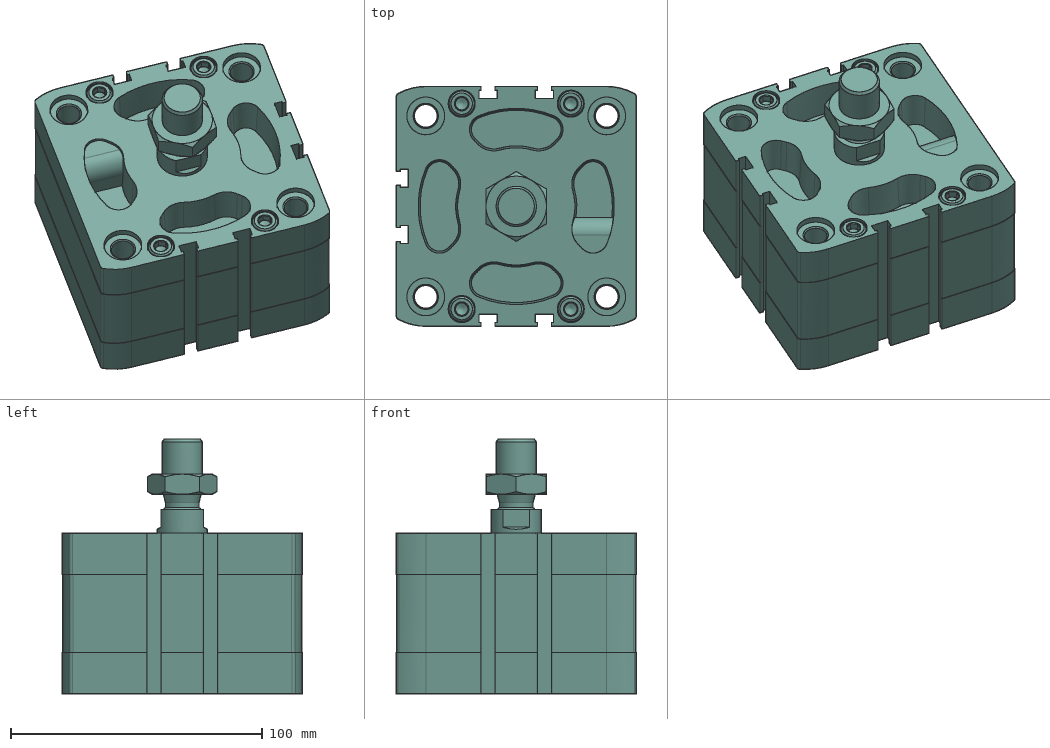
import cadquery as cq
import math


width = 95.5
housing_height = 64.0
cap_height = 16.5
barrel_inset = 0.2
corner_sweep_radius = 23.0
corner_edge_radius = 1.5
mount_pitch = 72.0
half_width = width / 2
half_mount = mount_pitch / 2

slot_offset = 11.2
slot_mouth = 5.5
slot_inner = 7.1
slot_lip = 1.6
slot_depth = 4.8
slot_edge_radius = 0.3

mount_bore = 9.0
mount_rim = 10.0
mount_chamfer = (mount_rim - mount_bore) / 2
counterbore_diameter = 15.0
counterbore_depth = 2.5

screw_x = 21.7
screw_y = 40.9
screw_groove_outer = 10.7
screw_head = 10.0
screw_top = 8.5
screw_chamfer = (screw_head - screw_top) / 2
screw_groove_depth = 1.0
socket_across_flats = 5.0
socket_depth = 3.0
socket_tip_height = 0.9

pocket_inner_radius = 23.3
pocket_outer_radius = 39.0
rib_half_width = 6.7
pocket_inner_fillet = 9.0
pocket_outer_fillet = 6.0
pocket_depth = 15.0
pocket_draft = 3.0
corner_pick = 0.1

boss_radius = 7.1
boss_y = -11.5
boss_top_gap = 1.0
overcut = 1.0

total_height = 101.4
collar_diameter = 20.0
collar_height = 9.4
flat_spacing = 17.0
flat_height = 7.1
flat_runout_angle = 30.0
neck_diameter = 13.5
neck_foot_diameter = 15.0
neck_foot_height = 0.7
neck_height = 2.0
thread_diameter = 16.0
runout_angle = 15.0
tip_diameter = 14.4
tip_chamfer_height = 1.1

nut_across_flats = 24.0
nut_height = 8.0
nut_top = 87.4
nut_chamfer_angle = 30.0


def block(inset, bottom, height):
    """Slice of the housing with swept corners on its Y faces, before slots are cut."""
    x = half_width - inset
    y = half_width - inset
    dx = x - half_mount
    drop = corner_sweep_radius - math.sqrt(corner_sweep_radius**2 - dx**2)
    mid_drop = corner_sweep_radius - math.sqrt(corner_sweep_radius**2 - (dx / 2) ** 2)
    mid_x = half_mount + dx / 2
    return (
        cq.Workplane("XY", origin=(0, 0, bottom))
        .moveTo(-half_mount, y)
        .lineTo(half_mount, y)
        .threePointArc((mid_x, y - mid_drop), (x, y - drop))
        .lineTo(x, drop - y)
        .threePointArc((mid_x, mid_drop - y), (half_mount, -y))
        .lineTo(-half_mount, -y)
        .threePointArc((-mid_x, mid_drop - y), (-x, drop - y))
        .lineTo(-x, y - drop)
        .threePointArc((-mid_x, y - mid_drop), (-half_mount, y))
        .close()
        .extrude(height)
        .edges("|Z and (<X or >X)")
        .fillet(corner_edge_radius)
    )


def sensor_slots(inset, bottom, height):
    """Pairs of T-slots on the -X, -Y and +Y sides, with rounded mouth edges on the inset side face."""
    face = half_width - inset
    floor = half_width - slot_depth
    lip = half_width - slot_lip
    mouth_x = slot_mouth / 2
    inner_x = slot_inner / 2
    edge_x = mouth_x + slot_edge_radius * (1 - math.sqrt(0.5))
    edge_y = face - slot_edge_radius * (1 - math.sqrt(0.5))
    slot = (
        cq.Workplane("XY", origin=(0, 0, bottom))
        .moveTo(mouth_x + slot_edge_radius, face)
        .threePointArc((edge_x, edge_y), (mouth_x, face - slot_edge_radius))
        .lineTo(mouth_x, lip)
        .lineTo(inner_x, lip)
        .lineTo(inner_x, floor)
        .lineTo(-inner_x, floor)
        .lineTo(-inner_x, lip)
        .lineTo(-mouth_x, lip)
        .lineTo(-mouth_x, face - slot_edge_radius)
        .threePointArc((-edge_x, edge_y), (-mouth_x - slot_edge_radius, face))
        .close()
        .extrude(height)
        .val()
    )
    slots = []
    for offset in (-slot_offset, slot_offset):
        for angle in (0, 90, 180):
            placed = slot.translate(cq.Vector(offset, 0, 0))
            slots.append(placed.rotate(cq.Vector(0, 0, 0), cq.Vector(0, 0, 1), angle))
    return slots


def slotted_block(inset, bottom, height):
    """Slice of the housing with its sensor slots."""
    body = block(inset, bottom, height)
    for slot in sensor_slots(inset, bottom, height):
        body = body.cut(cq.Workplane(slot))
    return body


def mounting_hole():
    """Through hole with a chamfered rim at the floor of a counterbore."""
    floor = housing_height - counterbore_depth
    profile = [
        (0, 0),
        (mount_bore / 2, 0),
        (mount_bore / 2, floor - mount_chamfer),
        (mount_rim / 2, floor),
        (counterbore_diameter / 2, floor),
        (counterbore_diameter / 2, housing_height),
        (0, housing_height),
    ]
    return cq.Workplane("XZ").polyline(profile).close().revolve(360, (0, 0), (0, 1))


def screw_recess():
    """Ring groove round a chamfered screw head, and the hexagon socket with a conical floor."""
    top = housing_height
    groove_profile = [
        (screw_groove_outer / 2, top),
        (screw_top / 2, top),
        (screw_head / 2, top - screw_chamfer),
        (screw_head / 2, top - screw_groove_depth),
        (screw_groove_outer / 2, top - screw_groove_depth),
    ]
    groove = cq.Workplane("XZ").polyline(groove_profile).close().revolve(360, (0, 0), (0, 1))
    corner_radius = socket_across_flats / math.sqrt(3)
    corner_chamfer = corner_radius - socket_across_flats / 2
    socket = (
        cq.Workplane("XY", origin=(0, 0, top))
        .polygon(6, 2 * corner_radius)
        .extrude(-socket_depth)
        .rotate((0, 0, 0), (0, 0, 1), 30)
    )
    floor = top - socket_depth
    cone_profile = [(0, floor), (socket_across_flats / 2, floor), (0, floor - socket_tip_height)]
    rim_profile = [
        (0, top),
        (corner_radius, top),
        (socket_across_flats / 2, top - corner_chamfer),
        (0, top - corner_chamfer),
    ]
    for profile in (cone_profile, rim_profile):
        socket = socket.union(cq.Workplane("XZ").polyline(profile).close().revolve(360, (0, 0), (0, 1)))
    return [groove.val(), socket.val()]


def pocket_section(inset, z):
    """Outline of the +X pocket: a ring sector between two diagonal ribs, moved inwards by the inset."""
    inner_radius = pocket_inner_radius + inset
    outer_radius = pocket_outer_radius - inset
    rib = rib_half_width + inset

    def rib_corner(radius):
        along = math.sqrt(radius**2 - rib**2)
        return ((along + rib) / math.sqrt(2), (along - rib) / math.sqrt(2))

    inner_x, inner_y = rib_corner(inner_radius)
    outer_x, outer_y = rib_corner(outer_radius)
    sector = (
        cq.Workplane("XY", origin=(0, 0, z))
        .moveTo(inner_x, inner_y)
        .lineTo(outer_x, outer_y)
        .threePointArc((outer_radius, 0), (outer_x, -outer_y))
        .lineTo(inner_x, -inner_y)
        .threePointArc((inner_radius, 0), (inner_x, inner_y))
        .close()
        .extrude(pocket_depth)
    )
    middle_x = (inner_x + outer_x) / 2
    outer_side = cq.selectors.BoxSelector((middle_x, -width, 0), (width, width, 2 * width))
    rounded = sector.edges("|Z").edges(outer_side).fillet(pocket_outer_fillet - inset)
    sharp = cq.selectors.BoxSelector(
        (inner_x - corner_pick, -inner_y - corner_pick, 0),
        (inner_x + corner_pick, inner_y + corner_pick, 2 * width),
    )
    rounded = rounded.edges("|Z").edges(sharp).fillet(pocket_inner_fillet - inset)
    return rounded.faces("<Z").wires().val()


def pocket():
    """Pocket on the +X side with drafted walls."""
    draft_inset = pocket_depth * math.tan(math.radians(pocket_draft))
    mouth = pocket_section(0, housing_height)
    floor = pocket_section(draft_inset, housing_height - pocket_depth)
    return cq.Workplane(cq.Solid.makeLoft([floor, mouth], True))


def port_boss():
    """Rounded shoulder, flat towards -Y, that fills part of the +X pocket."""
    crest = housing_height - boss_top_gap
    bottom = housing_height - pocket_depth - overcut
    arc_y = boss_y + boss_radius * math.sin(math.pi / 4)
    arc_z = crest - boss_radius * (1 - math.cos(math.pi / 4))
    return (
        cq.Workplane("YZ")
        .moveTo(-half_mount, bottom)
        .lineTo(-half_mount, crest)
        .lineTo(boss_y, crest)
        .threePointArc((arc_y, arc_z), (boss_y + boss_radius, crest - boss_radius))
        .lineTo(boss_y + boss_radius, bottom)
        .close()
        .extrude(half_width)
    )


def make_housing():
    """Two caps and the barrel between them as one block, with all its holes and pockets."""
    body = slotted_block(0, 0, cap_height)
    body = body.union(slotted_block(barrel_inset, cap_height, housing_height - 2 * cap_height))
    body = body.union(slotted_block(0, housing_height - cap_height, cap_height))

    cutters = []
    for x in (-half_mount, half_mount):
        for y in (-half_mount, half_mount):
            cutters.append(mounting_hole().val().translate(cq.Vector(x, y, 0)))
    for x in (-screw_x, screw_x):
        for y in (-screw_y, screw_y):
            for shape in screw_recess():
                cutters.append(shape.translate(cq.Vector(x, y, 0)))
    for angle in (90, 180, 270):
        cutters.append(pocket().val().rotate(cq.Vector(0, 0, 0), cq.Vector(0, 0, 1), angle))
    cutters.append(pocket().cut(port_boss()).val())
    for cutter in cutters:
        body = body.cut(cq.Workplane(cutter))
    return body


def make_rod():
    """Collar with two wrench flats, undercut neck and plain thread cylinder, resting on the housing."""
    collar_top = housing_height + collar_height
    neck_bottom = collar_top + neck_foot_height
    neck_top = neck_bottom + neck_height
    runout = (thread_diameter - neck_diameter) / 2 / math.tan(math.radians(runout_angle))
    profile = [
        (0, housing_height),
        (collar_diameter / 2, housing_height),
        (collar_diameter / 2, collar_top),
        (neck_foot_diameter / 2, collar_top),
        (neck_diameter / 2, neck_bottom),
        (neck_diameter / 2, neck_top),
        (thread_diameter / 2, neck_top + runout),
        (thread_diameter / 2, total_height - tip_chamfer_height),
        (tip_diameter / 2, total_height),
        (0, total_height),
    ]
    body = cq.Workplane("XZ").polyline(profile).close().revolve(360, (0, 0), (0, 1))

    flat_bottom = collar_top - flat_height
    flat_cut = (collar_diameter - flat_spacing) / 2
    runout_drop = flat_cut * math.tan(math.radians(flat_runout_angle))
    flat_profile = [
        (flat_spacing / 2, collar_top),
        (flat_spacing / 2, flat_bottom),
        (collar_diameter / 2, flat_bottom - runout_drop),
        (collar_diameter / 2, collar_top),
    ]
    flat = cq.Workplane("YZ").polyline(flat_profile).close().extrude(collar_diameter / 2, both=True)
    return body.cut(flat).cut(flat.mirror("XZ"))


def make_nut():
    """Hexagon nut with corners on Y, both ends chamfered, bored to the thread diameter."""
    corner_radius = nut_across_flats / math.sqrt(3)
    flat_radius = nut_across_flats / 2
    chamfer = (corner_radius - flat_radius) * math.tan(math.radians(nut_chamfer_angle))
    bottom = nut_top - nut_height
    hexagon = (
        cq.Workplane("XY", origin=(0, 0, bottom))
        .polygon(6, 2 * corner_radius)
        .extrude(nut_height)
        .rotate((0, 0, 0), (0, 0, 1), 30)
    )
    envelope_profile = [
        (thread_diameter / 2, bottom),
        (flat_radius, bottom),
        (corner_radius, bottom + chamfer),
        (corner_radius, nut_top - chamfer),
        (flat_radius, nut_top),
        (thread_diameter / 2, nut_top),
    ]
    envelope = cq.Workplane("XZ").polyline(envelope_profile).close().revolve(360, (0, 0), (0, 1))
    return hexagon.intersect(envelope)


housing = make_housing()
rod = make_rod()
nut = make_nut()

result = cq.Compound.makeCompound([housing.val(), rod.val(), nut.val()])